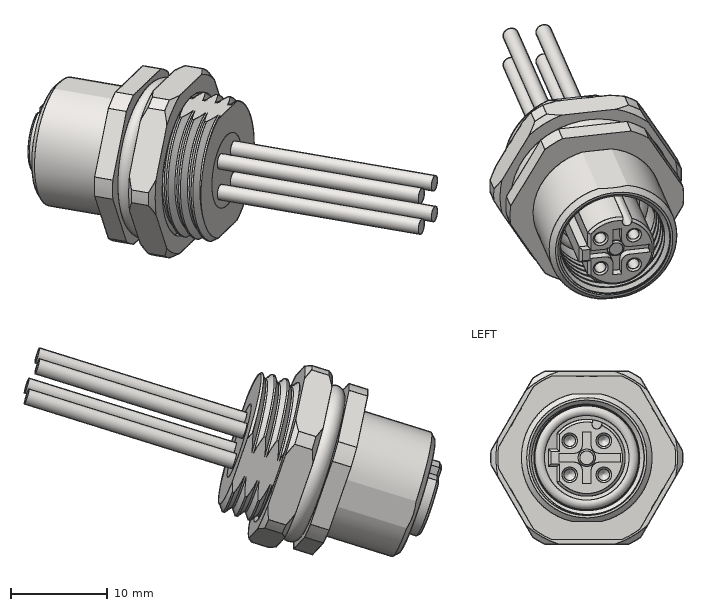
import cadquery as cq
import math


HOUSING_FRONT = 1.5
FLANGE_FRONT = 9.85
FLANGE_BACK = 11.9
NUT_FRONT = 13.8
NUT_BACK = 16.8
HOUSING_BACK = 20.9
WIRE_END = 43.6

BARREL_RADIUS = 6.8
BARREL_CHAMFER = 0.55
BARREL_FLAT = 6.62
FLANGE_ACROSS_FLATS = 17.0
FLANGE_CORNER_RADIUS = 9.25
SEAL_NECK_RADIUS = 6.5
SHANK_RADIUS = 7.6
SHANK_FLAT = 6.79
SHANK_CHAMFER = 0.3
SOCKET_RADIUS = 5.5
SOCKET_ENTRY_RADIUS = 6.0
SOCKET_DEPTH = 9.25
SOCKET_FLOOR = HOUSING_FRONT + SOCKET_DEPTH

SHANK_PITCH = 1.411
SHANK_THREAD_DEPTH = 0.67
SHANK_CREST_STATION = 18.07
SOCKET_PITCH = 1.0
SOCKET_THREAD_DEPTH = 0.45
SOCKET_THREAD_LENGTH = 6.5
ROOT_FLAT = 0.2
CREST_FLAT = 0.2
CUTTER_OVERLAP = 0.1

NUT_ACROSS_FLATS = 18.0
NUT_CORNER_RADIUS = 10.0
NUT_CHAMFER = 0.55

SEAL_OUTER_RADIUS = 8.5

INSERT_RADIUS = 4.0
INSERT_CHAMFER = 0.28
KEY_FLAT = 3.1
KEY_WIDTH = 1.84
GROOVE_RADIUS = 0.5
GROOVE_OFFSET = 3.65
GROOVE_ANGLE = 16.7
CONTACT_OFFSET = 1.77
CONTACT_RADIUS = 0.6
CONTACT_CHAMFER = 0.2
CONTACT_DEPTH = 5.0
CROSS_WIDTH = 0.92
CROSS_DEPTH = 0.9
CROSS_HALF_HEIGHT = 2.7
CROSS_SHORT_REACH = 2.9
CROSS_LONG_REACH = 3.5
CROSS_CORNER_RADIUS = 0.85
CENTRE_BOSS_RADIUS = 0.9
CENTRE_BOSS_CHAMFER = 0.18
CENTRE_BOSS_HEIGHT = 0.3

COLLAR_RADIUS = 5.4
LIP_CROWN_RADIUS = 4.85
LIP_INNER_RADIUS = 4.4
LIP_FOOT_RADIUS = 3.0
LIP_FRONT = 9.0
LIP_SIDE = 9.55
LIP_INNER_STATION = 9.2

WIRE_RADIUS = 0.82
WIRE_OFFSET = 1.75


def rod(radius, start, end):
    """Cylinder on the part's axis between two X stations."""
    return cq.Workplane("YZ", origin=(start, 0, 0)).circle(radius).extrude(end - start)


def hexagon(across_flats, start, end):
    """Hexagonal prism with flats facing +Z and -Z."""
    corner_diameter = across_flats / math.cos(math.radians(30))
    return cq.Workplane("YZ", origin=(start, 0, 0)).polygon(6, corner_diameter).extrude(end - start)


def slab(half_height, start, end):
    """Block between Z = -half_height and +half_height, wider than the part."""
    width = 2 * NUT_CORNER_RADIUS
    block = cq.Workplane("XY").box(end - start, width, 2 * half_height, centered=(False, True, True))
    return block.translate((start, 0, 0))


def thread_cutter(open_radius, root_radius, pitch, length):
    """Helical V-shaped groove along Z, opening at open_radius and narrowing to root_radius."""
    outward = math.copysign(1, open_radius - root_radius)
    slope = (pitch - CREST_FLAT - ROOT_FLAT) / 2 / abs(open_radius - root_radius)
    open_half = (pitch - CREST_FLAT) / 2 + slope * CUTTER_OVERLAP
    root_half = ROOT_FLAT / 2
    past_open = open_radius + outward * CUTTER_OVERLAP
    profile = (
        cq.Workplane("XZ")
        .moveTo(past_open, -open_half)
        .lineTo(past_open, open_half)
        .lineTo(root_radius, root_half)
        .lineTo(root_radius, -root_half)
        .close()
    )
    path = cq.Workplane(cq.Wire.makeHelix(pitch, length, root_radius))
    return profile.sweep(path, isFrenet=True)


def lay_along_x(cutter, start):
    """Turn a cutter from Z to X with its first turn crossing the +Y side at the given station."""
    turned = cutter.rotate((0, 0, 0), (0, 1, 0), 90).rotate((0, 0, 0), (1, 0, 0), 90)
    return turned.translate((start, 0, 0))


def make_housing():
    barrel = rod(BARREL_RADIUS, HOUSING_FRONT, FLANGE_FRONT).faces("<X").chamfer(BARREL_CHAMFER)
    barrel = barrel.intersect(slab(BARREL_FLAT, HOUSING_FRONT, FLANGE_FRONT))

    flange = hexagon(FLANGE_ACROSS_FLATS, FLANGE_FRONT, FLANGE_BACK)
    flange = flange.intersect(rod(FLANGE_CORNER_RADIUS, FLANGE_FRONT, FLANGE_BACK))

    neck = rod(SEAL_NECK_RADIUS, FLANGE_BACK, NUT_FRONT)

    turns_to_start = math.ceil((SHANK_CREST_STATION - NUT_FRONT) / SHANK_PITCH) + 0.5
    groove_start = SHANK_CREST_STATION - turns_to_start * SHANK_PITCH
    groove_end = HOUSING_BACK + SHANK_PITCH
    groove = thread_cutter(
        SHANK_RADIUS, SHANK_RADIUS - SHANK_THREAD_DEPTH, SHANK_PITCH, groove_end - groove_start
    )
    blank = rod(SHANK_RADIUS, groove_start - SHANK_PITCH, groove_end + SHANK_PITCH)
    shank = blank.cut(lay_along_x(groove, groove_start))
    trim = rod(SHANK_RADIUS + CUTTER_OVERLAP, NUT_FRONT, HOUSING_BACK)
    trim = trim.faces(">X").chamfer(SHANK_CHAMFER + CUTTER_OVERLAP)
    trim = trim.intersect(slab(SHANK_FLAT, NUT_FRONT, HOUSING_BACK))
    shank = shank.intersect(trim)

    housing = barrel.union(flange).union(neck).union(shank)
    housing = housing.cut(rod(SOCKET_RADIUS, HOUSING_FRONT, SOCKET_FLOOR))
    housing = housing.cut(rod(INSERT_RADIUS, SOCKET_FLOOR, HOUSING_BACK))

    entry_depth = SOCKET_ENTRY_RADIUS - SOCKET_RADIUS
    entry_mouth = cq.Vector(HOUSING_FRONT, 0, 0)
    entry = cq.Solid.makeCone(
        SOCKET_ENTRY_RADIUS, SOCKET_RADIUS, entry_depth, entry_mouth, cq.Vector(1, 0, 0)
    )
    housing = housing.cut(cq.Workplane(entry))

    socket_groove = thread_cutter(
        SOCKET_RADIUS, SOCKET_RADIUS + SOCKET_THREAD_DEPTH, SOCKET_PITCH, SOCKET_THREAD_LENGTH
    )
    return housing.cut(lay_along_x(socket_groove, HOUSING_FRONT - SOCKET_PITCH / 2))


def make_seal():
    """Sealing ring filling the gap between flange and nut, round the neck."""
    section_radius = (SEAL_OUTER_RADIUS - SEAL_NECK_RADIUS) / 2
    middle = (FLANGE_BACK + NUT_FRONT) / 2
    ring_radius = SEAL_OUTER_RADIUS - section_radius
    ring = cq.Solid.makeTorus(ring_radius, section_radius, cq.Vector(middle, 0, 0), cq.Vector(1, 0, 0))
    gap = rod(NUT_CORNER_RADIUS, FLANGE_BACK, NUT_FRONT)
    return gap.intersect(cq.Workplane(ring))


def make_nut():
    nut = hexagon(NUT_ACROSS_FLATS, NUT_FRONT, NUT_BACK)
    rounding = rod(NUT_CORNER_RADIUS, NUT_FRONT, NUT_BACK).faces("<X or >X").chamfer(NUT_CHAMFER)
    return nut.intersect(rounding).cut(rod(SHANK_RADIUS, NUT_FRONT, NUT_BACK))


def make_insert_core():
    """Round core with a flat on +Y carrying a key, chamfered round the mating face."""
    flat_side = cq.Workplane("XY").box(
        LIP_SIDE, INSERT_RADIUS, 2 * INSERT_RADIUS, centered=(False, False, True)
    )
    core = rod(INSERT_RADIUS, 0, HOUSING_BACK).cut(flat_side.translate((0, KEY_FLAT, 0)))
    core = core.faces("<X").chamfer(INSERT_CHAMFER)
    key = (
        cq.Workplane("XY")
        .box(LIP_SIDE, INSERT_RADIUS, KEY_WIDTH, centered=(False, False, True))
        .faces("<X").edges("|Y or >Y").chamfer(INSERT_CHAMFER)
    )
    return core.union(key)


def make_collar():
    """Collar seated on the socket floor, its front rounded into a lip that falls inward."""
    section = (
        cq.Workplane("XY")
        .moveTo(SOCKET_FLOOR, 0)
        .lineTo(SOCKET_FLOOR, COLLAR_RADIUS)
        .lineTo(LIP_SIDE, COLLAR_RADIUS)
        .threePointArc((LIP_FRONT, LIP_CROWN_RADIUS), (LIP_INNER_STATION, LIP_INNER_RADIUS))
        .lineTo(LIP_SIDE, LIP_FOOT_RADIUS)
        .lineTo(LIP_SIDE, 0)
        .close()
    )
    return section.revolve(360, (0, 0, 0), (1, 0, 0))


def make_cross_recess():
    """Cross-shaped recess with rounded inner corners and a low chamfered boss on its floor."""
    face = cq.Workplane("YZ")
    reach = CROSS_LONG_REACH + CROSS_SHORT_REACH
    middle = (CROSS_SHORT_REACH - CROSS_LONG_REACH) / 2
    level_arm = face.center(middle, 0).rect(reach, CROSS_WIDTH).extrude(CROSS_DEPTH)
    upright_arm = face.rect(CROSS_WIDTH, 2 * CROSS_HALF_HEIGHT).extrude(CROSS_DEPTH)
    half = CROSS_WIDTH / 2
    inner_corners = cq.selectors.BoxSelector((0, -2 * half, -2 * half), (CROSS_DEPTH, 2 * half, 2 * half))
    cross = level_arm.union(upright_arm).edges(inner_corners).edges("|X").fillet(CROSS_CORNER_RADIUS)
    boss = rod(CENTRE_BOSS_RADIUS, CROSS_DEPTH - CENTRE_BOSS_HEIGHT, CROSS_DEPTH)
    return cross.cut(boss.faces("<X").chamfer(CENTRE_BOSS_CHAMFER))


def make_contact_hole():
    """Chamfered contact hole with a conical bottom, on the part's axis."""
    mouth = CONTACT_RADIUS + CONTACT_CHAMFER
    section = (
        cq.Workplane("XY")
        .lineTo(0, mouth)
        .lineTo(CONTACT_CHAMFER, CONTACT_RADIUS)
        .lineTo(CONTACT_DEPTH, CONTACT_RADIUS)
        .lineTo(CONTACT_DEPTH + CONTACT_RADIUS, 0)
        .close()
    )
    return section.revolve(360, (0, 0, 0), (1, 0, 0))


def make_polarising_groove():
    """Round-bottomed groove along the top of the insert, turned towards -Y."""
    width = 2 * GROOVE_RADIUS
    groove = (
        cq.Workplane("YZ")
        .center(0, GROOVE_OFFSET)
        .circle(GROOVE_RADIUS)
        .extrude(LIP_FRONT)
        .union(
            cq.Workplane("XY")
            .box(LIP_FRONT, width, width, centered=(False, True, False))
            .translate((0, 0, GROOVE_OFFSET))
        )
    )
    return groove.rotate((0, 0, 0), (1, 0, 0), GROOVE_ANGLE)


def make_insert():
    """Contact insert with its collar and the four wires moulded into its back."""
    insert = make_insert_core().cut(make_polarising_groove()).union(make_collar())
    insert = insert.cut(make_cross_recess())
    for y_side in (-1, 1):
        for z_side in (-1, 1):
            hole = make_contact_hole().translate((0, y_side * CONTACT_OFFSET, z_side * CONTACT_OFFSET))
            wire = rod(WIRE_RADIUS, HOUSING_BACK, WIRE_END)
            wire = wire.translate((0, y_side * WIRE_OFFSET, z_side * WIRE_OFFSET))
            insert = insert.cut(hole).union(wire)
    return insert


housing = make_housing()
seal = make_seal()
nut = make_nut()
insert = make_insert()

result = cq.Compound.makeCompound([body.solids().val() for body in (housing, seal, nut, insert)])